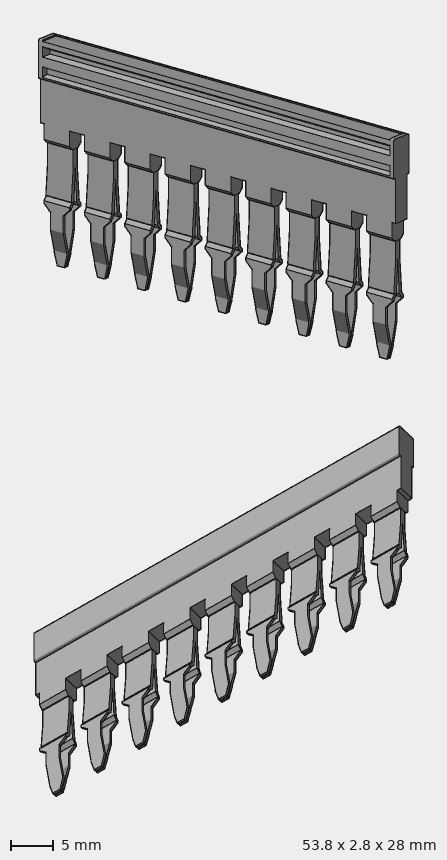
import cadquery as cq
import math

LENGTH = 53.8
HEIGHT = 28.0
CONTACT_COUNT = 9
END_TO_FIRST_CONTACT = 2.5
CONTACT_WIDTH = 3.9

HEAD_THICKNESS = 2.8
HEAD_HEIGHT = 4.95
HEAD_FILLET = 0.2
BODY_THICKNESS = 2.1
BODY_BOTTOM_Z = 17.5
TAB_BOTTOM_Z = 15.0
TAB_CHAMFER = 0.55
END_WALL = 0.6
RECESS_DEPTH = 0.15
REAR_RIM = 0.3

GROOVE_HEIGHT = 1.3
GROOVE_STEEP_SLOPE = math.radians(30)
GROOVE_GENTLE_SLOPE = math.radians(14)
GROOVE_END_DRAFT = math.radians(25)
UPPER_GROOVE_TOP_Z = 27.15
UPPER_GROOVE_DEPTH = 0.9
LOWER_GROOVE_TOP_Z = 24.65
LOWER_GROOVE_DEPTH = 0.55

NECK_HALF = 0.405
SHOULDER_TOP_HALF = 0.725
SHOULDER_NOTCH_HALF = 0.6
BULGE_HALF = BODY_THICKNESS / 2
TIP_TOP_HALF = 0.4
TIP_HALF = 0.3
LEG_THICKNESS = 0.3
TIP_GAP_HALF = 0.05
SPLIT_Z = 12.6
SHOULDER_TOP_Z = 8.5
SHOULDER_BOTTOM_Z = 7.95
INNER_BEND_DROP = 0.2
LEG_BEND_Z = 4.55
TIP_TOP_Z = 1.85

BLADE_WIDTH = 1.95
BLADE_TAPER_TOP_Z = 7.65
BLADE_TAPER_BOTTOM_Z = 6.7
POINT_TOP_Z = 1.6
POINT_WIDTH = 1.1

PITCH = (LENGTH - 2 * END_TO_FIRST_CONTACT) / (CONTACT_COUNT - 1)
HEAD_BOTTOM_Z = HEIGHT - HEAD_HEIGHT
HEAD_FRONT_Y = -HEAD_THICKNESS / 2
RECESS_LENGTH = LENGTH - 2 * END_WALL
RECESS_FLOOR_Z = HEIGHT - RECESS_DEPTH
CONTACT_XS = [(i - (CONTACT_COUNT - 1) / 2) * PITCH for i in range(CONTACT_COUNT)]


def block(length, thickness, bottom_z, top_z):
    """Box centred on X = 0 and Y = 0 between two heights."""
    return (
        cq.Workplane("XY")
        .workplane(offset=bottom_z)
        .rect(length, thickness)
        .extrude(top_z - bottom_z)
    )


def across_x(points, width):
    """Extrude a closed (y, z) outline along X, centred on X = 0."""
    return cq.Workplane("YZ").polyline(points).close().extrude(width / 2, both=True)


def mirrored(points):
    """Complete a half outline with its mirror image about the vertical axis."""
    return points + [(-u, v) for u, v in reversed(points)]


def top_recess():
    """Shallow recess in the top, open to the front, with a rim at the back and both ends."""
    depth_y = HEAD_THICKNESS - REAR_RIM
    return (
        cq.Workplane("XY")
        .workplane(offset=RECESS_FLOOR_Z)
        .center(0, HEAD_FRONT_Y + depth_y / 2)
        .rect(RECESS_LENGTH, depth_y)
        .extrude(RECESS_DEPTH)
    )


def groove(top_z, depth, roof_slope, floor_slope):
    """Front groove with drafted ends that narrows inwards by the slopes of its roof and floor."""
    bottom_z = top_z - GROOVE_HEIGHT
    back_y = HEAD_FRONT_Y + depth
    back_top_z = top_z - depth * math.tan(roof_slope)
    back_bottom_z = bottom_z + depth * math.tan(floor_slope)
    section = [
        (HEAD_FRONT_Y, bottom_z),
        (back_y, back_bottom_z),
        (back_y, back_top_z),
        (HEAD_FRONT_Y, top_z),
    ]
    front_half = RECESS_LENGTH / 2
    back_half = front_half - depth * math.tan(GROOVE_END_DRAFT)
    plan = [
        (-front_half, HEAD_FRONT_Y),
        (front_half, HEAD_FRONT_Y),
        (back_half, back_y),
        (-back_half, back_y),
    ]
    plan_prism = (
        cq.Workplane("XY").workplane(offset=bottom_z).polyline(plan).close().extrude(GROOVE_HEIGHT)
    )
    return across_x(section, RECESS_LENGTH).intersect(plan_prism)


def housing_tab(x):
    """Tab below the body that carries one contact, bevelled along its lower front and back."""
    half = BODY_THICKNESS / 2
    half_section = [
        (half, BODY_BOTTOM_Z),
        (half, TAB_BOTTOM_Z + TAB_CHAMFER),
        (half - TAB_CHAMFER, TAB_BOTTOM_Z),
    ]
    return across_x(mirrored(half_section), CONTACT_WIDTH).translate((x, 0, 0))


def make_housing():
    head = block(LENGTH, HEAD_THICKNESS, HEAD_BOTTOM_Z, HEIGHT).edges("|X").fillet(HEAD_FILLET)
    body = block(LENGTH, BODY_THICKNESS, BODY_BOTTOM_Z, HEAD_BOTTOM_Z)
    housing = head.union(body)
    for x in CONTACT_XS:
        housing = housing.union(housing_tab(x))
    upper_groove = groove(
        UPPER_GROOVE_TOP_Z, UPPER_GROOVE_DEPTH, GROOVE_STEEP_SLOPE, GROOVE_GENTLE_SLOPE
    )
    lower_groove = groove(LOWER_GROOVE_TOP_Z, LOWER_GROOVE_DEPTH, 0, GROOVE_STEEP_SLOPE)
    return housing.cut(top_recess()).cut(upper_groove).cut(lower_groove)


def contact_side():
    """Fork seen along X: a neck that splits into two legs, which bulge out and meet at the tip."""
    outer = [
        (NECK_HALF, TAB_BOTTOM_Z),
        (NECK_HALF, SPLIT_Z),
        (SHOULDER_TOP_HALF, SHOULDER_TOP_Z),
        (SHOULDER_NOTCH_HALF, SHOULDER_TOP_Z),
        (BULGE_HALF, SHOULDER_BOTTOM_Z),
        (BULGE_HALF, LEG_BEND_Z),
        (TIP_TOP_HALF, TIP_TOP_Z),
        (TIP_HALF, 0),
    ]
    inner = [
        (TIP_GAP_HALF, 0),
        (TIP_GAP_HALF, TIP_TOP_Z),
        (BULGE_HALF - LEG_THICKNESS, LEG_BEND_Z),
        (BULGE_HALF - LEG_THICKNESS, SHOULDER_BOTTOM_Z - INNER_BEND_DROP),
        (SHOULDER_NOTCH_HALF - LEG_THICKNESS, SHOULDER_TOP_Z - INNER_BEND_DROP),
        (0, SPLIT_Z),
    ]
    right_half = outer + inner
    left_half = [(-y, z) for y, z in reversed(right_half[:-1])]
    return across_x(right_half + left_half, CONTACT_WIDTH)


def contact_front():
    """Prism of the contact's width outline: wide above, a narrow blade below, then a point."""
    half_outline = [
        (CONTACT_WIDTH / 2, TAB_BOTTOM_Z),
        (CONTACT_WIDTH / 2, BLADE_TAPER_TOP_Z),
        (BLADE_WIDTH / 2, BLADE_TAPER_BOTTOM_Z),
        (BLADE_WIDTH / 2, POINT_TOP_Z),
        (POINT_WIDTH / 2, 0),
    ]
    outline = mirrored(half_outline)
    return cq.Workplane("XZ").polyline(outline).close().extrude(BULGE_HALF, both=True)


def make_contact():
    return contact_side().intersect(contact_front())


housing = make_housing()
contact = make_contact()
contacts = [contact.translate((x, 0, 0)) for x in CONTACT_XS]

result = cq.Compound.makeCompound([housing.val(), *[each.val() for each in contacts]])